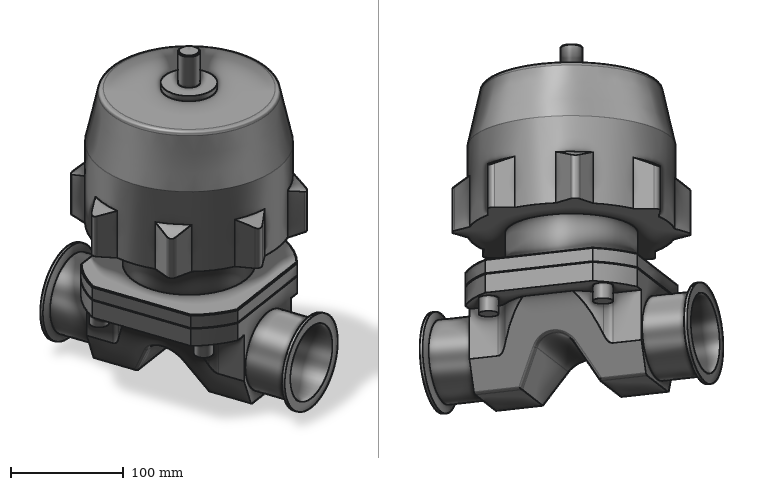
import cadquery as cq
import math

OVERALL_LENGTH = 254.0
OVERALL_HEIGHT = 325.5

PIPE_RADIUS = 76.0 / 2
BORE_RADIUS = 72.2 / 2
CLAMP_RADIUS = 91.0 / 2
CLAMP_RIM = 3.0
CLAMP_TAPER = 3.0
PIPE_AXIS_Z = CLAMP_RADIUS

FLANGE_HALF = 81.7
FLANGE_CORNER_RADIUS = 96.3
FLANGE_BOTTOM_Z = 79.0
DIAPHRAGM_Z = 96.3
DIAPHRAGM_THICKNESS = 1.0
BONNET_FLANGE_Z = DIAPHRAGM_Z + DIAPHRAGM_THICKNESS
NECK_Z = 110.3
FLANGE_CHAMFER = 1.0

BLOCK_BOTTOM_Z = 3.5
BLOCK_BOTTOM_HALF = 28.3
BLOCK_DRAFT = math.radians(22.5)
BLOCK_EDGE_FILLET = 3.3
BAR_HALF = 40.5
BOWL_RADIUS = 64.0
BOWL_FILLET = 10.5
ARCH_TOP_Z = 47.2
ARCH_RADIUS = 20.8
ARCH_LEG_ANGLE = math.radians(30)

BOLT_RADIUS = 18.0 / 2
BOLT_X = 54.5
BOLT_Y = 64.5
BOLT_BOTTOM_Z = 64.8

NECK_RADIUS = 118.0 / 2
GRIP_RADIUS = 185.0 / 2
GRIP_BOTTOM_Z = 152.3
CONE_Z = 233.3
CONE_TOP_Z = 287.5
CONE_TOP_RADIUS = 80.5
CONE_FILLET = 5.0
COLLAR_RADIUS = 50.0 / 2
COLLAR_TOP_Z = 293.2
SPINDLE_RADIUS = 20.0 / 2
SPINDLE_CHAMFER = 1.0

RIB_COUNT = 8
RIB_HALF_WIDTH = 16.5
RIB_APEX = 108.7
RIB_TIP_FILLET = 5.5
RIB_TOP_Z = 199.8
RIB_TOP_SLOPE = math.radians(29)


def flange_plate(bottom_z, top_z):
    """Square plate whose corners are rounded off by a circle about Z."""
    height = top_z - bottom_z
    base = cq.Workplane("XY", origin=(0, 0, bottom_z))
    square = base.rect(2 * FLANGE_HALF, 2 * FLANGE_HALF).extrude(height)
    disc = base.circle(FLANGE_CORNER_RADIUS).extrude(height)
    return square.intersect(disc)


def drafted_block():
    """Bar along X with sloping sides, arched out underneath."""
    rise = FLANGE_BOTTOM_Z - BLOCK_BOTTOM_Z
    top_half = BLOCK_BOTTOM_HALF + rise * math.tan(BLOCK_DRAFT)
    block = (
        cq.Workplane("YZ")
        .polyline([
            (-BLOCK_BOTTOM_HALF, BLOCK_BOTTOM_Z),
            (BLOCK_BOTTOM_HALF, BLOCK_BOTTOM_Z),
            (top_half, FLANGE_BOTTOM_Z),
            (-top_half, FLANGE_BOTTOM_Z),
        ])
        .close()
        .extrude(FLANGE_HALF, both=True)
    )
    crown_z = ARCH_TOP_Z - ARCH_RADIUS
    tangent_x = ARCH_RADIUS * math.cos(ARCH_LEG_ANGLE)
    tangent_z = crown_z + ARCH_RADIUS * math.sin(ARCH_LEG_ANGLE)
    foot_x = tangent_x + (tangent_z - BLOCK_BOTTOM_Z) * math.tan(ARCH_LEG_ANGLE)
    arch = (
        cq.Workplane("XZ")
        .moveTo(-foot_x, BLOCK_BOTTOM_Z)
        .lineTo(-tangent_x, tangent_z)
        .threePointArc((0, ARCH_TOP_Z), (tangent_x, tangent_z))
        .lineTo(foot_x, BLOCK_BOTTOM_Z)
        .close()
        .extrude(top_half, both=True)
    )
    block = block.cut(arch)
    return block.faces("<Y or >Y").edges("not (<X or >X or >Z)").fillet(BLOCK_EDGE_FILLET)


def body_footprint():
    """Plan shape of the block: a bar along X with a round bowl blended into it."""
    height = FLANGE_BOTTOM_Z
    bar = cq.Workplane("XY").rect(2 * FLANGE_HALF, 2 * BAR_HALF).extrude(height)
    bowl = cq.Workplane("XY").circle(BOWL_RADIUS).extrude(height)
    inner_corners = cq.selectors.BoxSelector(
        (-BOWL_RADIUS, -BOWL_RADIUS, 0), (BOWL_RADIUS, BOWL_RADIUS, height)
    )
    return bar.union(bowl).edges("|Z").edges(inner_corners).fillet(BOWL_FILLET)


def pipe_stub():
    """Solid stub with its clamp ring, on the -X side."""
    end_x = -OVERALL_LENGTH / 2
    return (
        cq.Workplane("XZ")
        .polyline([
            (end_x, 0),
            (end_x, CLAMP_RADIUS),
            (end_x + CLAMP_RIM, CLAMP_RADIUS),
            (end_x + CLAMP_RIM + CLAMP_TAPER, PIPE_RADIUS),
            (-FLANGE_HALF, PIPE_RADIUS),
            (-FLANGE_HALF, 0),
        ])
        .close()
        .revolve(360, (0, 0), (1, 0))
        .translate((0, 0, PIPE_AXIS_Z))
    )


def pipe_bore():
    """Blind bore that ends where the stub meets the block."""
    depth = OVERALL_LENGTH / 2 - FLANGE_HALF
    return (
        cq.Workplane("YZ", origin=(-OVERALL_LENGTH / 2, 0, PIPE_AXIS_Z))
        .circle(BORE_RADIUS)
        .extrude(depth)
    )


def make_valve_body():
    body = drafted_block().intersect(body_footprint())
    body = body.union(flange_plate(FLANGE_BOTTOM_Z, DIAPHRAGM_Z))
    bolts = (
        cq.Workplane("XY", origin=(0, 0, BOLT_BOTTOM_Z))
        .rect(2 * BOLT_X, 2 * BOLT_Y, forConstruction=True)
        .vertices()
        .circle(BOLT_RADIUS)
        .extrude(FLANGE_BOTTOM_Z - BOLT_BOTTOM_Z)
    )
    body = body.union(bolts)
    stub = pipe_stub().cut(pipe_bore())
    return body.union(stub).union(stub.mirror("YZ"))


def make_diaphragm():
    return flange_plate(DIAPHRAGM_Z, BONNET_FLANGE_Z)


def grip_rib():
    """Triangular rib pointing to +X, with a rounded tip and a conical top."""
    base_x = math.sqrt(GRIP_RADIUS ** 2 - RIB_HALF_WIDTH ** 2)
    height = RIB_TOP_Z - GRIP_BOTTOM_Z
    rib = (
        cq.Workplane("XY", origin=(0, 0, GRIP_BOTTOM_Z))
        .polyline([
            (0, 0),
            (base_x, -RIB_HALF_WIDTH),
            (RIB_APEX, 0),
            (base_x, RIB_HALF_WIDTH),
        ])
        .close()
        .extrude(height)
        .edges("|Z and >X")
        .fillet(RIB_TIP_FILLET)
    )
    drop = (RIB_APEX - GRIP_RADIUS) * math.tan(RIB_TOP_SLOPE)
    slope_cut = (
        cq.Workplane("XZ")
        .polyline([
            (GRIP_RADIUS, RIB_TOP_Z),
            (RIB_APEX, RIB_TOP_Z),
            (RIB_APEX, RIB_TOP_Z - drop),
        ])
        .close()
        .revolve(360, (0, 0), (0, 1))
    )
    return rib.cut(slope_cut)


def grip_housing():
    housing = (
        cq.Workplane("XZ")
        .polyline([
            (0, GRIP_BOTTOM_Z),
            (GRIP_RADIUS, GRIP_BOTTOM_Z),
            (GRIP_RADIUS, CONE_Z),
            (CONE_TOP_RADIUS, CONE_TOP_Z),
            (0, CONE_TOP_Z),
        ])
        .close()
        .revolve(360, (0, 0), (0, 1))
    )
    housing = housing.faces(">Z").edges().fillet(CONE_FILLET)
    rib = grip_rib()
    pitch = 360 / RIB_COUNT
    for index in range(RIB_COUNT):
        housing = housing.union(rib.rotate((0, 0, 0), (0, 0, 1), (index + 0.5) * pitch))
    return housing


def round_post(radius, bottom_z, top_z):
    return cq.Workplane("XY", origin=(0, 0, bottom_z)).circle(radius).extrude(top_z - bottom_z)


def make_actuator():
    flange = flange_plate(BONNET_FLANGE_Z, NECK_Z).faces(">Z").edges().chamfer(FLANGE_CHAMFER)
    neck = round_post(NECK_RADIUS, NECK_Z, GRIP_BOTTOM_Z)
    collar = round_post(COLLAR_RADIUS, CONE_TOP_Z, COLLAR_TOP_Z)
    spindle = round_post(SPINDLE_RADIUS, COLLAR_TOP_Z, OVERALL_HEIGHT)
    spindle = spindle.faces(">Z").edges().chamfer(SPINDLE_CHAMFER)
    return flange.union(neck).union(grip_housing()).union(collar).union(spindle)


valve_body = make_valve_body()
diaphragm = make_diaphragm()
actuator = make_actuator()

result = cq.Compound.makeCompound([
    valve_body.solids().val(),
    diaphragm.solids().val(),
    actuator.solids().val(),
])